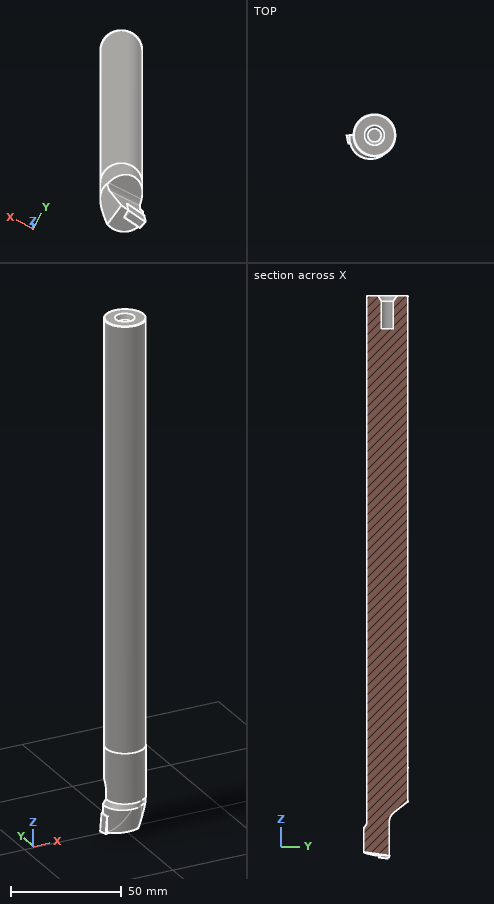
import cadquery as cq
import math


overall_length = 255.25
neck_diameter = 19.13
neck_radius = neck_diameter / 2
shank_diameter = 19.05
rear_chamfer = 0.3
neck_top_z = 41.2

rear_hole_diameter = 6.0
rear_hole_depth = 15.0
mouth_diameter = 9.0
mouth_depth = 2.5

tip_x = -12.695
head_shift_x = -1.75
head_shift_y = -1.25
shoulder_top_z = 15.9
shoulder_bottom_z = 13.7

heel_edge_x = -2.0
heel_edge_angle = 37.0

back_clearance_top_z = 17.0
back_clearance_angle = 30.0
end_rise_angle = 5.0
end_clearance_angle = 8.0
end_gap = 0.5

rake_angle = 5.0
ramp_foot_tilt = 24.0
ramp_angle = 53.0
ramp_foot_distance = 22.2
ramp_fillet = 5.0

insert_nose_angle = 80.0
insert_inscribed_diameter = 9.525
insert_thickness = 3.97
insert_clearance_angle = 7.0
insert_nose_radius = 0.8

cutter_size = 80.0


def half_space(origin, normal):
    """A large block that fills the side of a plane the normal points to."""
    plane = cq.Plane(origin=origin, normal=normal)
    return cq.Workplane(plane).rect(cutter_size, cutter_size).extrude(cutter_size)


def sine(angle):
    return math.sin(math.radians(angle))


def cosine(angle):
    return math.cos(math.radians(angle))


def tangent(angle):
    return math.tan(math.radians(angle))


rake_plane = cq.Plane(
    origin=(tip_x, 0, 0),
    xDir=(cosine(rake_angle), sine(rake_angle), 0),
    normal=(sine(rake_angle), -cosine(rake_angle), 0),
)


def make_bar():
    shank = (
        cq.Workplane("XY", origin=(0, 0, neck_top_z))
        .circle(shank_diameter / 2)
        .extrude(overall_length - neck_top_z)
        .faces(">Z")
        .chamfer(rear_chamfer)
    )
    neck = (
        cq.Workplane("XY", origin=(0, 0, shoulder_bottom_z))
        .circle(neck_radius)
        .extrude(neck_top_z - shoulder_bottom_z)
    )
    return shank.union(neck)


def make_rear_hole():
    hole = (
        cq.Workplane("XY", origin=(0, 0, overall_length - rear_hole_depth))
        .circle(rear_hole_diameter / 2)
        .extrude(rear_hole_depth)
    )
    mouth = (
        cq.Workplane("XY", origin=(0, 0, overall_length))
        .circle(mouth_diameter / 2)
        .workplane(offset=-mouth_depth)
        .circle(rear_hole_diameter / 2)
        .loft()
    )
    return hole.union(mouth)


def make_shoulder():
    """Sloping step from the neck round to the shifted head round."""
    return (
        cq.Workplane("XY", origin=(0, 0, shoulder_top_z))
        .circle(neck_radius)
        .workplane(offset=shoulder_bottom_z - shoulder_top_z)
        .center(head_shift_x, head_shift_y)
        .circle(neck_radius)
        .loft()
    )


def make_flank():
    """Shifted round, on the insert side of the sloping line."""
    flank = (
        cq.Workplane("XY")
        .center(head_shift_x, head_shift_y)
        .circle(neck_radius)
        .extrude(shoulder_bottom_z)
    )
    return flank.cut(make_heel_space())


def make_heel():
    """Rest of the head: an oblong section that encloses the neck round and the shifted round."""
    shift = math.hypot(head_shift_x, head_shift_y)
    shift_angle = math.degrees(math.atan2(head_shift_y, head_shift_x))
    oblong = (
        cq.Workplane("XY")
        .center(head_shift_x / 2, head_shift_y / 2)
        .slot2D(neck_diameter + shift, neck_diameter, shift_angle)
        .extrude(shoulder_bottom_z)
    )
    return oblong.intersect(make_heel_space())


def make_heel_space():
    return half_space(
        (heel_edge_x, 0, shoulder_bottom_z),
        (cosine(heel_edge_angle), 0, -sine(heel_edge_angle)),
    )


def make_back_clearance():
    return half_space(
        (neck_radius, 0, back_clearance_top_z),
        (cosine(back_clearance_angle), 0, -sine(back_clearance_angle)),
    )


def make_end_clearance():
    return half_space(
        (tip_x, 0, end_gap),
        (tangent(end_rise_angle), -tangent(end_clearance_angle), -1),
    )


def make_rake_cut():
    """Space above the rake face, closed at the top by a ramp with a rounded foot."""
    foot_direction = rake_plane.xDir * cosine(ramp_foot_tilt) - rake_plane.yDir * sine(ramp_foot_tilt)
    profile_plane = cq.Plane(
        origin=rake_plane.origin - foot_direction * (cutter_size / 2),
        xDir=-rake_plane.zDir,
        normal=foot_direction,
    )
    ramp_rise = cutter_size / 2
    ramp_run = ramp_rise / tangent(ramp_angle)
    cut = (
        cq.Workplane(profile_plane)
        .moveTo(0, -cutter_size)
        .lineTo(0, ramp_foot_distance)
        .lineTo(ramp_rise, ramp_foot_distance + ramp_run)
        .lineTo(ramp_rise, -cutter_size)
        .close()
        .extrude(cutter_size)
    )
    foot_point = rake_plane.origin + profile_plane.yDir * ramp_foot_distance
    return cut.edges(cq.selectors.NearestToPointSelector(foot_point.toTuple())).fillet(ramp_fillet)


def make_insert():
    """Rhombic insert with its nose at the lower left and its flanks tapering into the head."""
    core_diameter = insert_inscribed_diameter - 2 * insert_nose_radius
    core_side = core_diameter / sine(insert_nose_angle)
    edge_lean = (90 - insert_nose_angle) / 2
    long_step = core_side * cosine(edge_lean)
    short_step = core_side * sine(edge_lean)
    return (
        cq.Workplane(rake_plane)
        .moveTo(insert_nose_radius, insert_nose_radius)
        .line(long_step, short_step)
        .line(short_step, long_step)
        .line(-long_step, -short_step)
        .close()
        .offset2D(insert_nose_radius, "arc")
        .extrude(insert_thickness, taper=insert_clearance_angle)
    )


insert = make_insert()
body = make_bar().cut(make_rear_hole())
for head_part in (make_shoulder(), make_flank(), make_heel()):
    body = body.union(head_part, clean=False)
for cutter in (make_back_clearance(), make_end_clearance(), make_rake_cut(), insert):
    body = body.cut(cutter, clean=False)

result = cq.Compound.makeCompound([body.val(), insert.val()])